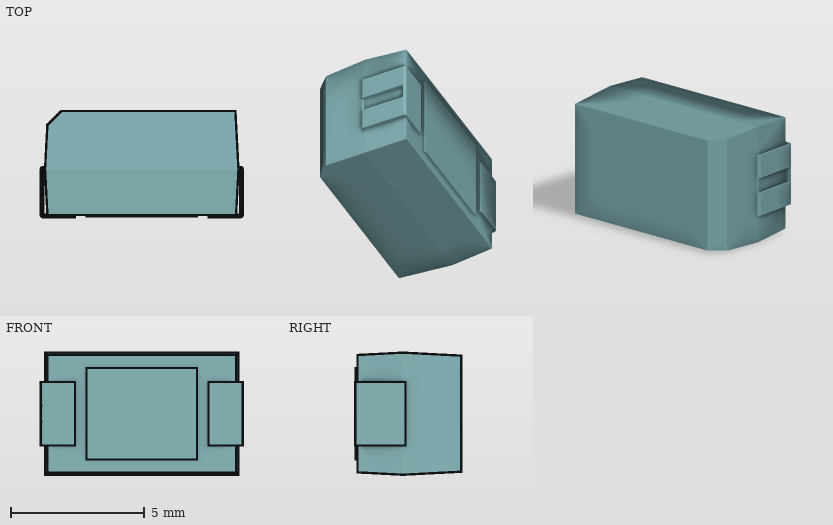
import cadquery as cq
import math

BODY_LENGTH = 7.28
BODY_WIDTH = 4.6
DRAFT_ANGLE = 3.0
OVERALL_DEPTH = 4.0
LOWER_DEPTH = 1.71
CHAMFER = 0.5

LEAD_SPAN = 7.6
LEAD_THICKNESS = 0.1
LEAD_WIDTH = 2.4
LEAD_FOOT_LENGTH = 1.3
BEND_RADIUS = 0.12
STUB_EMBED = 0.2
FOOT_EMBED = 0.01
SLOT_WIDTH = 0.6

PAD_LENGTH = 4.17
PAD_WIDTH = 3.45
PAD_THICKNESS = 0.065

BODY_BOTTOM = LEAD_THICKNESS - FOOT_EMBED
PARTING_Y = BODY_BOTTOM + LOWER_DEPTH
UPPER_DEPTH = OVERALL_DEPTH - PARTING_Y
LEAD_TOP = PARTING_Y + LEAD_THICKNESS
LEAD_OUTER_X = LEAD_SPAN / 2
LEAD_INNER_X = LEAD_OUTER_X - LEAD_THICKNESS


def drafted_half(depth, direction):
    """One body half, narrowing away from the parting plane; direction is +1 or -1 along Y."""
    plane = cq.Plane(origin=(0, PARTING_Y, 0), xDir=(1, 0, 0), normal=(0, direction, 0))
    return cq.Workplane(plane).rect(BODY_LENGTH, BODY_WIDTH).extrude(depth, taper=DRAFT_ANGLE)


def corner_cutter():
    """Prism removing the polarity chamfer at the -X edge of the top face."""
    top_draft = UPPER_DEPTH * math.tan(math.radians(DRAFT_ANGLE))
    corner_x = -BODY_LENGTH / 2 + top_draft
    return (
        cq.Workplane("XY")
        .moveTo(corner_x - CHAMFER, OVERALL_DEPTH - 2 * CHAMFER)
        .lineTo(corner_x + 2 * CHAMFER, OVERALL_DEPTH + CHAMFER)
        .lineTo(corner_x - CHAMFER, OVERALL_DEPTH + CHAMFER)
        .close()
        .extrude(BODY_WIDTH, both=True)
    )


def body():
    return drafted_half(UPPER_DEPTH, 1).union(drafted_half(LOWER_DEPTH, -1)).cut(corner_cutter())


def mounting_pad():
    return cq.Workplane("XY").box(PAD_LENGTH, PAD_THICKNESS, PAD_WIDTH).translate(
        (0, BODY_BOTTOM - PAD_THICKNESS / 2, 0)
    )


def bent_lead():
    """C-shaped strip at the -X end: foot under the body, upright leg, and a stub into the body."""
    foot_end_x = -LEAD_OUTER_X + LEAD_FOOT_LENGTH
    stub_end_x = -BODY_LENGTH / 2 + STUB_EMBED

    def strip_block(x_outer, y_low, y_high):
        return (
            cq.Workplane("XY")
            .moveTo(x_outer, y_low)
            .lineTo(foot_end_x, y_low)
            .lineTo(foot_end_x, y_high)
            .lineTo(x_outer, y_high)
            .close()
            .extrude(LEAD_WIDTH / 2, both=True)
        )

    outer = strip_block(-LEAD_OUTER_X, 0, LEAD_TOP).edges("|Z and <X").fillet(BEND_RADIUS)
    inner = strip_block(-LEAD_INNER_X, LEAD_THICKNESS, PARTING_Y)
    beyond_stub = (
        cq.Workplane("XY")
        .box(LEAD_FOOT_LENGTH, LEAD_TOP, LEAD_WIDTH, centered=(False, False, True))
        .translate((stub_end_x, PARTING_Y, 0))
    )
    return outer.cut(inner).cut(beyond_stub)


def leg_slot():
    """Slot through the upright leg of the -X lead, open through its upper bend."""
    return (
        cq.Workplane("XY")
        .box(LEAD_THICKNESS, LEAD_TOP - LEAD_THICKNESS, SLOT_WIDTH, centered=(False, False, True))
        .translate((-LEAD_OUTER_X, LEAD_THICKNESS, 0))
    )


slotted_lead = bent_lead().cut(leg_slot())
plain_lead = bent_lead().mirror("YZ")

result = body().union(mounting_pad()).union(slotted_lead).union(plain_lead)